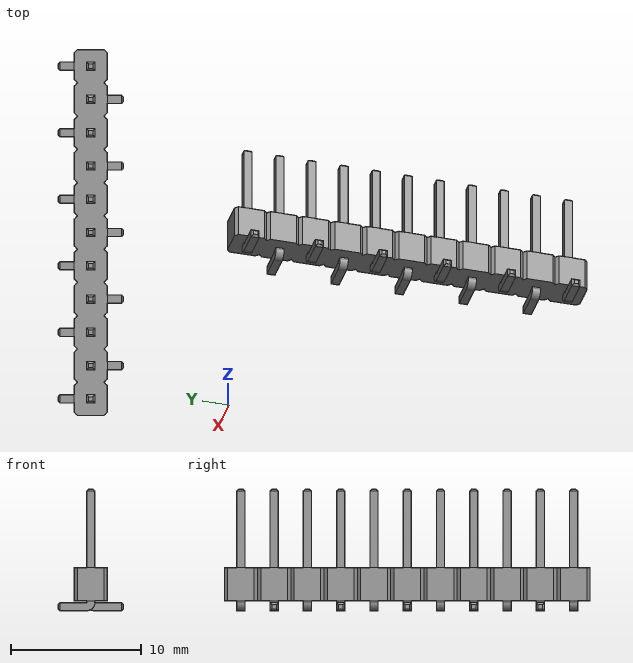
import cadquery as cq

PIN_COUNT = 11
PITCH = 2.54
BODY_WIDTH = 2.54
BODY_HEIGHT = 2.54
BODY_CORNER = 0.254

PIN_WIDTH = 0.64
TOTAL_HEIGHT = 9.3
LEG_SPAN = 5.0
BODY_STANDOFF = 0.76
TIP_CHAMFER = 0.16

LEG_REACH = LEG_SPAN / 2
BEND_RADIUS = PIN_WIDTH


def pin_y(index):
    """Y position of a pin, with the row centred on the origin."""
    return (index - (PIN_COUNT - 1) / 2) * PITCH


def make_body():
    """Row of chamfered square cells; neighbouring chamfers form V notches."""
    cell = (
        cq.Workplane("XY")
        .box(BODY_WIDTH, PITCH, BODY_HEIGHT, centered=(True, True, False))
        .edges("|Z")
        .chamfer(BODY_CORNER)
        .translate((0, 0, BODY_STANDOFF))
    )
    body = cell.translate((0, pin_y(0), 0))
    for index in range(1, PIN_COUNT):
        body = body.union(cell.translate((0, pin_y(index), 0)))
    return body


def make_tip():
    """Four-sided taper rising along +Z from the wire section."""
    end_width = PIN_WIDTH - 2 * TIP_CHAMFER
    return (
        cq.Workplane("XY")
        .rect(PIN_WIDTH, PIN_WIDTH)
        .workplane(offset=TIP_CHAMFER)
        .rect(end_width, end_width)
        .loft(ruled=True)
    )


def make_pin():
    """Square wire: vertical post bent into a leg pointing towards -X."""
    post_top = TOTAL_HEIGHT - TIP_CHAMFER
    leg_end = LEG_REACH - TIP_CHAMFER
    post = cq.Workplane("XY").box(PIN_WIDTH, PIN_WIDTH, post_top, centered=(True, True, False))
    leg = (
        cq.Workplane("XY")
        .box(leg_end, PIN_WIDTH, PIN_WIDTH, centered=(False, True, False))
        .translate((-leg_end, 0, 0))
    )
    wire = post.union(leg).clean()
    wire = wire.faces(">X").edges("<Z").fillet(BEND_RADIUS)

    tip = make_tip()
    post_tip = tip.translate((0, 0, post_top))
    leg_tip = tip.rotate((0, 0, 0), (0, 1, 0), -90).translate((-leg_end, 0, PIN_WIDTH / 2))
    return wire.union(post_tip).union(leg_tip)


def make_header():
    """Body with pins whose legs alternate, starting with -X at both ends."""
    left_pin = make_pin()
    right_pin = left_pin.rotate((0, 0, 0), (0, 0, 1), 180)
    header = make_body()
    for index in range(PIN_COUNT):
        pin = left_pin if index % 2 == 0 else right_pin
        header = header.union(pin.translate((0, pin_y(index), 0)))
    return header


result = make_header()